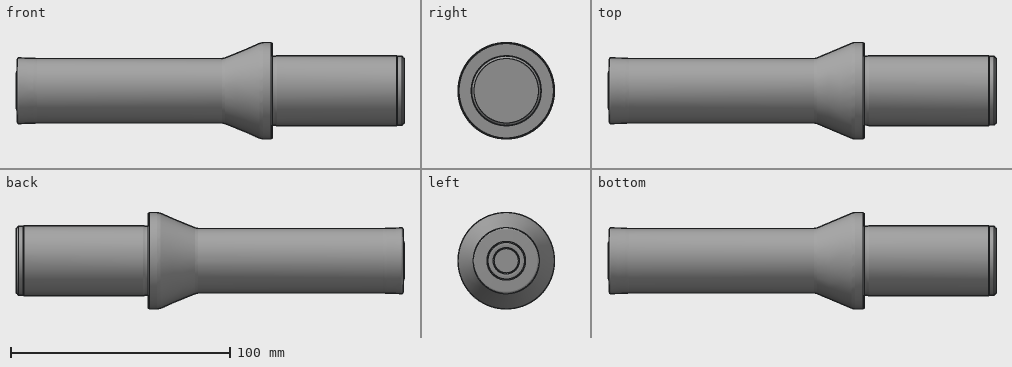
import cadquery as cq

nose_rim_x = 0.5
head_end_x = 8.0
head_blend_end_x = 9.5
cone_start_x = 94.7
cone_end_x = 111.9
flange_end_x = 116.8
neck_end_x = 117.9
shank_start_x = 119.0
shank_end_x = 173.3
tail_start_x = 173.8
total_length = 177.0

nose_fillet = 0.9
head_radius = 30.3 / 2
head_end_radius = 14.9
body_radius = 29.5 / 2
cone_fillet = 3.9
flange_diameter = 44.0
flange_radius = flange_diameter / 2
flange_chamfer = 0.5
neck_radius = 31.5 / 2
shank_radius = 32.0 / 2
tail_radius = 31.5 / 2
tail_chamfer = 1.0

ring_outer_radius = 8.8
ring_inner_radius = 5.5
ring_edge = 0.5
ring_crown = 0.09
ring_exposed_x = 0.4
ring_seat_x = 1.5

AXIS_START = (0, 0, 0)
AXIS_END = (1, 0, 0)
SELECT_MARGIN = 0.02


def turn(points):
    """Revolve a closed (x, radius) profile about the X axis."""
    return cq.Workplane("XY").polyline(points).close().revolve(360, AXIS_START, AXIS_END)


def fillet_circle(body, x, fillet_radius):
    """Round the circular edge that lies at station x."""
    low_corner = (x - SELECT_MARGIN, -flange_diameter, -flange_diameter)
    high_corner = (x + SELECT_MARGIN, flange_diameter, flange_diameter)
    edge_box = cq.selectors.BoxSelector(low_corner, high_corner, boundingbox=True)
    return body.edges(edge_box).fillet(fillet_radius)


def make_punch():
    """Stepped round punch: slightly coned nose, body, conical flange and shank."""
    blank = turn([
        (ring_exposed_x, 0),
        (ring_exposed_x, ring_outer_radius),
        (nose_rim_x, head_radius),
        (head_end_x, head_end_radius),
        (head_blend_end_x, body_radius),
        (cone_start_x, body_radius),
        (cone_end_x, flange_radius),
        (flange_end_x - flange_chamfer, flange_radius),
        (flange_end_x, flange_radius - flange_chamfer),
        (flange_end_x, neck_radius),
        (neck_end_x, neck_radius),
        (shank_start_x, shank_radius),
        (shank_end_x, shank_radius),
        (tail_start_x, tail_radius),
        (total_length - tail_chamfer, tail_radius),
        (total_length, tail_radius - tail_chamfer),
        (total_length, 0),
    ])
    blank = fillet_circle(blank, nose_rim_x, nose_fillet)
    blank = fillet_circle(blank, cone_start_x, cone_fillet)
    blank = fillet_circle(blank, cone_end_x, cone_fillet)
    ring_groove = turn([
        (0, ring_inner_radius),
        (0, ring_outer_radius),
        (ring_seat_x, ring_outer_radius),
        (ring_seat_x, ring_inner_radius),
    ])
    return blank.cut(ring_groove)


def make_ring():
    """Ring with a low crown and bevelled edges, filling the groove in the nose."""
    crown_radius = (ring_outer_radius + ring_inner_radius) / 2
    return turn([
        (ring_seat_x, ring_inner_radius),
        (ring_exposed_x, ring_inner_radius),
        (ring_crown, ring_inner_radius + ring_edge),
        (0, crown_radius),
        (ring_crown, ring_outer_radius - ring_edge),
        (ring_exposed_x, ring_outer_radius),
        (ring_seat_x, ring_outer_radius),
    ])


punch = make_punch()
ring = make_ring()

result = cq.Compound.makeCompound([punch.val(), ring.val()])